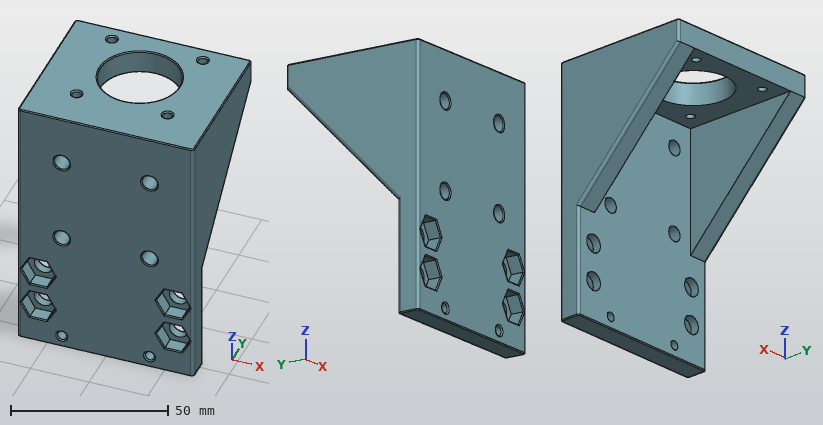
import cadquery as cq
import math

WIDTH = 60.0
DEPTH = 51.2
HEIGHT = 90.15

PLATE = 8.0
GUSSET = 7.5
SLOPE_DROP = 44.2
SIDE_ROUND = 1.0
EDGE_CHAMFER = 0.4

MOTOR_BORE = 27.0
MOTOR_Y = 30.0
MOTOR_PITCH = 31.0
SCREW_DIAMETER = 3.2
SCREW_CHAMFER = 0.45

RAIL_DIAMETER = 5.3
RAIL_PITCH = 29.9
RAIL_LOWER_Z = 43.0
FOOT_Z = 4.15

BOLT_DIAMETER = 6.4
BOLT_SPACING = 46.0
BOLT_LOWER_Z = 13.9
BOLT_PITCH = 13.2
NUT_FLATS = 10.0
NUT_DEPTH = 5.0
HEX_CORNER_RATIO = 1 / math.cos(math.pi / 6)


def bracket_body():
    """Side profile sloping back to the upright plate, hollowed between two gussets."""
    shoulder_z = HEIGHT - PLATE
    profile = [
        (0, 0),
        (PLATE, 0),
        (PLATE, shoulder_z - SLOPE_DROP),
        (DEPTH, shoulder_z),
        (DEPTH, HEIGHT),
        (0, HEIGHT),
    ]
    body = cq.Workplane("YZ").polyline(profile).close().extrude(WIDTH / 2, both=True)

    side_edges = body.faces("<X or >X").edges("not(<Z or >Z)")
    body = body.newObject(side_edges.vals()).fillet(SIDE_ROUND)
    body = body.faces("<Z or >Z").chamfer(EDGE_CHAMFER)

    cavity = cq.Workplane("XY").box(
        WIDTH - 2 * GUSSET, DEPTH, HEIGHT - PLATE, centered=(True, False, False)
    )
    return body.cut(cavity.translate((0, PLATE, 0)))


def chamfered_hole(plane, diameter, chamfer=EDGE_CHAMFER):
    """Through-plate cutter with a chamfered mouth on the outer face."""
    hole = cq.Workplane(plane).circle(diameter / 2).extrude(-PLATE)
    mouth = (
        cq.Workplane(plane)
        .circle(diameter / 2 + chamfer)
        .extrude(-chamfer, taper=45)
    )
    return hole.union(mouth)


def front_plane(x, z):
    """Plane on the front face, its normal pointing out of the part."""
    return cq.Plane(origin=(x, 0, z), xDir=(1, 0, 0), normal=(0, -1, 0))


def top_plane(x, y):
    """Plane on the top face, its normal pointing out of the part."""
    return cq.Plane(origin=(x, y, HEIGHT), xDir=(1, 0, 0), normal=(0, 0, 1))


def nut_pocket(plane):
    """Bolt hole with a hexagonal nut pocket and a chamfered pocket mouth."""
    mouth_flats = NUT_FLATS + 2 * EDGE_CHAMFER
    bolt = cq.Workplane(plane).circle(BOLT_DIAMETER / 2).extrude(-PLATE)
    pocket = cq.Workplane(plane).polygon(6, NUT_FLATS * HEX_CORNER_RATIO).extrude(-NUT_DEPTH)
    mouth = (
        cq.Workplane(plane)
        .polygon(6, mouth_flats * HEX_CORNER_RATIO)
        .extrude(-EDGE_CHAMFER, taper=45)
    )
    return bolt.union(pocket).union(mouth)


result = bracket_body()

result = result.cut(chamfered_hole(top_plane(0, MOTOR_Y), MOTOR_BORE))
for side in (-1, 1):
    for end in (-1, 1):
        screw_plane = top_plane(side * MOTOR_PITCH / 2, MOTOR_Y + end * MOTOR_PITCH / 2)
        result = result.cut(chamfered_hole(screw_plane, SCREW_DIAMETER, SCREW_CHAMFER))

for side in (-1, 1):
    rail_x = side * RAIL_PITCH / 2
    result = result.cut(chamfered_hole(front_plane(rail_x, FOOT_Z), SCREW_DIAMETER, SCREW_CHAMFER))
    for row in range(2):
        rail_z = RAIL_LOWER_Z + row * RAIL_PITCH
        result = result.cut(chamfered_hole(front_plane(rail_x, rail_z), RAIL_DIAMETER))
        bolt_z = BOLT_LOWER_Z + row * BOLT_PITCH
        result = result.cut(nut_pocket(front_plane(side * BOLT_SPACING / 2, bolt_z)))